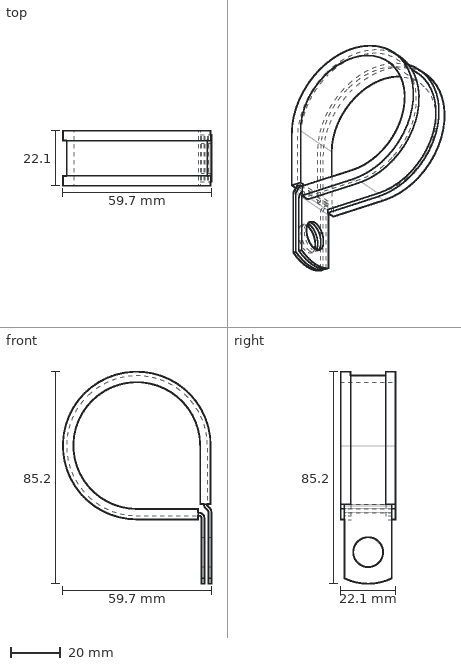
import cadquery as cq
import math

inner_radius = 25.4
outer_radius = 29.7
cushion_width = 22.1
vertical_leg_end_z = -23.55
bottom_leg_end_x = 24.65

strap_thickness = 1.27
groove_depth = 1.5
groove_width = 14.1
strap_outer_radius = outer_radius - groove_depth
strap_inner_radius = strap_outer_radius - strap_thickness
bend_radius = 1.0
outer_bend_radius = bend_radius + strap_thickness

tab_width = 19.05
tab_tip_z = -55.52
tab_tip_radius = 22.0
near_tab_outer_x = 27.2
far_tab_outer_x = 30.01
jog_angle = 45.0
hole_diameter = 11.9
hole_z = -42.8


def extrude_centred(profile, width):
    """Extrude an XZ profile by equal amounts along +Y and -Y."""
    return profile.extrude(width / 2, both=True)


def polar(center, radius, angle):
    """Point in XZ at an angle in degrees about a centre."""
    turn = math.radians(angle)
    return (center[0] + radius * math.cos(turn), center[1] + radius * math.sin(turn))


def loop_band(inner, outer, width):
    """Band between two radii, following the circle and both straight legs."""
    arc_middle_angle = 135
    profile = (
        cq.Workplane("XZ")
        .moveTo(outer, vertical_leg_end_z)
        .lineTo(outer, 0)
        .threePointArc(polar((0, 0), outer, arc_middle_angle), (0, -outer))
        .lineTo(bottom_leg_end_x, -outer)
        .lineTo(bottom_leg_end_x, -inner)
        .lineTo(0, -inner)
        .threePointArc(polar((0, 0), inner, arc_middle_angle), (inner, 0))
        .lineTo(inner, vertical_leg_end_z)
        .close()
    )
    return extrude_centred(profile, width)


def near_tab():
    """Tab that leaves the bottom leg and turns straight down."""
    inner_x = near_tab_outer_x - strap_thickness
    half_turn = 45
    center = (inner_x - bend_radius, -strap_outer_radius - bend_radius)
    profile = (
        cq.Workplane("XZ")
        .moveTo(bottom_leg_end_x, -strap_inner_radius)
        .lineTo(center[0], -strap_inner_radius)
        .threePointArc(polar(center, outer_bend_radius, half_turn), (near_tab_outer_x, center[1]))
        .lineTo(near_tab_outer_x, tab_tip_z)
        .lineTo(inner_x, tab_tip_z)
        .lineTo(inner_x, center[1])
        .threePointArc(polar(center, bend_radius, half_turn), (center[0], -strap_outer_radius))
        .lineTo(bottom_leg_end_x, -strap_outer_radius)
        .close()
    )
    return extrude_centred(profile, tab_width)


def far_tab():
    """Tab that leaves the vertical leg and jogs outward before running down."""
    inner_x = far_tab_outer_x - strap_thickness
    upper = (strap_outer_radius + bend_radius, vertical_leg_end_z)
    lower_x = inner_x - bend_radius

    bend_reach = bend_radius + outer_bend_radius
    slope = math.radians(jog_angle)
    center_shift = upper[0] - lower_x
    drop = (bend_reach - center_shift * math.cos(slope)) / math.sin(slope)
    lower = (lower_x, upper[1] - drop)

    upper_end = 180 + jog_angle
    upper_middle = 180 + jog_angle / 2
    profile = (
        cq.Workplane("XZ")
        .moveTo(strap_outer_radius, upper[1])
        .threePointArc(polar(upper, bend_radius, upper_middle), polar(upper, bend_radius, upper_end))
        .lineTo(*polar(lower, outer_bend_radius, jog_angle))
        .threePointArc(polar(lower, outer_bend_radius, jog_angle / 2), (far_tab_outer_x, lower[1]))
        .lineTo(far_tab_outer_x, tab_tip_z)
        .lineTo(inner_x, tab_tip_z)
        .lineTo(inner_x, lower[1])
        .threePointArc(polar(lower, bend_radius, jog_angle / 2), polar(lower, bend_radius, jog_angle))
        .lineTo(*polar(upper, outer_bend_radius, upper_end))
        .threePointArc(polar(upper, outer_bend_radius, upper_middle), (strap_inner_radius, upper[1]))
        .close()
    )
    return extrude_centred(profile, tab_width)


def tab_envelope():
    """Solid along X that rounds the tab tips and leaves out the bolt hole."""
    half_width = tab_width / 2
    tip_rise = tab_tip_radius - math.sqrt(tab_tip_radius**2 - half_width**2)
    corner_z = tab_tip_z + tip_rise
    return (
        cq.Workplane("YZ")
        .moveTo(-half_width, 0)
        .lineTo(-half_width, corner_z)
        .threePointArc((0, tab_tip_z), (half_width, corner_z))
        .lineTo(half_width, 0)
        .close()
        .moveTo(0, hole_z)
        .circle(hole_diameter / 2)
        .extrude(far_tab_outer_x)
    )


cushion = loop_band(inner_radius, outer_radius, cushion_width)
groove = loop_band(strap_outer_radius, outer_radius, groove_width)
body = cushion.cut(groove)

for tab in (near_tab(), far_tab()):
    body = body.union(tab.intersect(tab_envelope()))

result = body